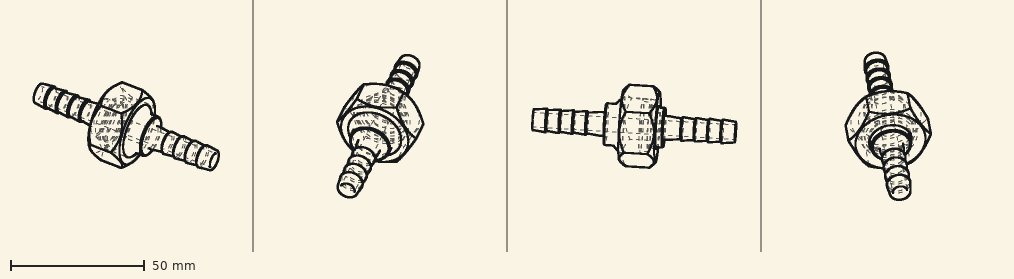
import cadquery as cq
import math

total_length = 76.0
left_end = -total_length / 2
right_end = total_length / 2

bore_radius = 5.5 / 2
crest_radius = 9.0 / 2
root_radius = 7.9 / 2
tip_round = 0.3
barb_count = 5
barb_pitch = 5.0
barb_step = crest_radius - root_radius
barb_first_crest = 4.9
tail_start = barb_first_crest + (barb_count - 1) * barb_pitch

left_tail_length = 26.7
right_tail_length = 27.05
left_collar_radius = 15.0 / 2
right_collar_radius = 15.7 / 2
collar_chamfer = 0.45
left_tail_fillet = 0.2
right_tail_fillet = 0.7

nut_across_flats = 27.0
nut_corner_diameter = nut_across_flats / math.cos(math.pi / 6)
nut_left = left_end + 29.25
nut_length = 13.5
nut_right = nut_left + nut_length
nut_face_diameter = 26.45
nut_chamfer_depth = 2.35
nut_hole_diameter = 16.0
nut_lip = 3.05
thread_radius = 20.9 / 2

flange_length = 3.05
flange_left = nut_left + nut_lip
joint_x = flange_left + flange_length
flange_radius = 18.6 / 2

cone_fillet = 0.6


def barb_points(collar_face, fillet):
    """Barb outline as (distance from hose end, radius), up to the collar fillet."""
    points = []
    for index in range(barb_count - 1):
        crest = barb_first_crest + index * barb_pitch
        points.append((crest, crest_radius))
        points.append((crest + barb_step, root_radius))
    points.append((tail_start, crest_radius))
    points.append((collar_face - fillet, crest_radius))
    return points


def start_tail(tail_length, fillet):
    """Open outline running from the bore at the hose end, over the barbs, to the collar face."""
    diagonal = math.sqrt(0.5)
    outline = (
        cq.Workplane("XY")
        .moveTo(tip_round, bore_radius)
        .threePointArc(
            (tip_round * (1 - diagonal), bore_radius + tip_round * (1 - diagonal)),
            (0, bore_radius + tip_round),
        )
        .lineTo(0, root_radius - tip_round)
        .threePointArc(
            (tip_round * (1 - diagonal), root_radius - tip_round * (1 - diagonal)),
            (tip_round, root_radius),
        )
    )
    for distance, radius in barb_points(tail_length, fillet):
        outline = outline.lineTo(distance, radius)
    return outline.threePointArc(
        (tail_length - fillet * (1 - diagonal), crest_radius + fillet * (1 - diagonal)),
        (tail_length, crest_radius + fillet),
    )


def revolve_about_x(outline):
    return outline.close().revolve(360, (0, 0, 0), (1, 0, 0))


def make_left_nipple():
    flange_start = flange_left - left_end
    flange_end = joint_x - left_end
    outline = (
        start_tail(left_tail_length, left_tail_fillet)
        .lineTo(left_tail_length, left_collar_radius - collar_chamfer)
        .lineTo(left_tail_length + collar_chamfer, left_collar_radius)
        .lineTo(flange_start, left_collar_radius)
        .lineTo(flange_start, flange_radius)
        .lineTo(flange_end, flange_radius)
        .lineTo(flange_end, bore_radius)
    )
    return revolve_about_x(outline).translate((left_end, 0, 0))


def make_right_nipple():
    """Built from its hose end, then turned to face the other way."""
    cone_end = right_end - nut_right
    cone_start = cone_end - (thread_radius - right_collar_radius)
    tangent = cone_fillet * math.tan(math.pi / 8)
    center = (cone_start - tangent, right_collar_radius + cone_fillet)
    fillet_middle = (
        center[0] + cone_fillet * math.sin(math.pi / 8),
        center[1] - cone_fillet * math.cos(math.pi / 8),
    )
    fillet_end = (
        center[0] + cone_fillet * math.sin(math.pi / 4),
        center[1] - cone_fillet * math.cos(math.pi / 4),
    )
    outline = (
        start_tail(right_tail_length, right_tail_fillet)
        .lineTo(right_tail_length, right_collar_radius - collar_chamfer)
        .lineTo(right_tail_length + collar_chamfer, right_collar_radius)
        .lineTo(center[0], right_collar_radius)
        .threePointArc(fillet_middle, fillet_end)
        .lineTo(cone_end, thread_radius)
        .lineTo(right_end - joint_x, thread_radius)
        .lineTo(right_end - joint_x, bore_radius)
    )
    nipple = revolve_about_x(outline)
    return nipple.rotate((0, 0, 0), (0, 0, 1), 180).translate((right_end, 0, 0))


def make_nut():
    hexagon = (
        cq.Workplane("YZ", origin=(nut_left, 0, 0))
        .polygon(6, nut_corner_diameter)
        .extrude(nut_length)
    )
    envelope = revolve_about_x(
        cq.Workplane("XY")
        .moveTo(nut_left, 0)
        .lineTo(nut_left, nut_face_diameter / 2)
        .lineTo(nut_left + nut_chamfer_depth, nut_corner_diameter / 2)
        .lineTo(nut_right - nut_chamfer_depth, nut_corner_diameter / 2)
        .lineTo(nut_right, nut_face_diameter / 2)
        .lineTo(nut_right, 0)
    )
    hole = (
        cq.Workplane("YZ", origin=(nut_left, 0, 0))
        .circle(nut_hole_diameter / 2)
        .extrude(nut_lip)
    )
    thread_bore = (
        cq.Workplane("YZ", origin=(flange_left, 0, 0))
        .circle(thread_radius)
        .extrude(nut_right - flange_left)
    )
    return hexagon.intersect(envelope).cut(hole).cut(thread_bore)


left_nipple = make_left_nipple()
right_nipple = make_right_nipple()
nut = make_nut()

result = cq.Compound.makeCompound([left_nipple.val(), nut.val(), right_nipple.val()])